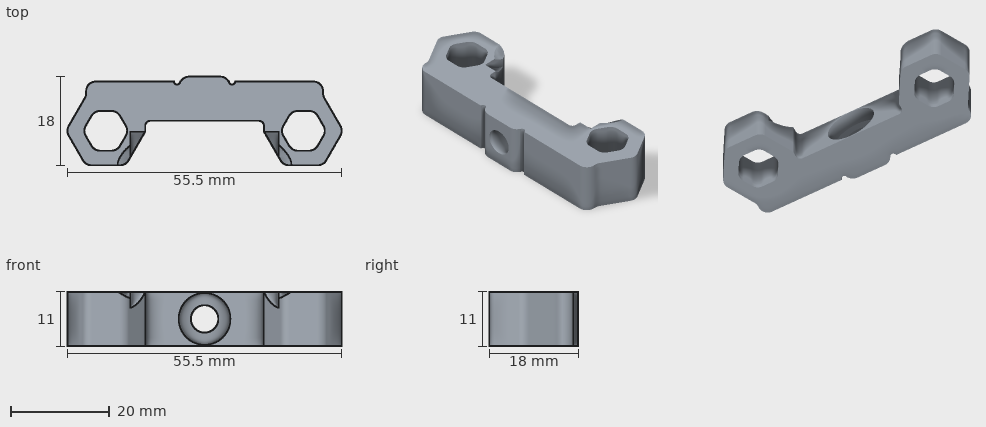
import cadquery as cq
import math

height = 11.0
top_z = height / 2

hex_spacing = 40
hex_flats = 14.0
hex_flank_angle = math.radians(60)
hex_radius = 2.0
socket_flats = 8.0
socket_radius = 2.0

bridge_half_width = 24.0
bridge_front = 2.0
bridge_back = 10
bridge_radius = 2.0
gap_half_width = 12.0
gap_radius = 1.0

boss_back = 11.0
boss_half_width = 4.3
boss_radius = 2.0
boss_flank_angle = math.radians(60)
groove_radius = 0.6

bolt_diameter = 5.5
counterbore_diameter = 10.5
counterbore_depth = 3.0

clearance_y = -hex_flats / 2
clearance_z = top_z + 5
clearance_radius = 8.45
clearance_half_length = 15
cone_radius = 6.5
cone_angle = math.radians(30)


def hexagon(flats, radius):
    """Vertical hexagonal prism with rounded corners."""
    across_corners = flats / math.sin(hex_flank_angle)
    prism = cq.Workplane("XY").polygon(6, across_corners).extrude(height).edges("|Z").fillet(radius)
    return prism.translate((0, 0, -top_z))


def at_both_ends(solid):
    """Copies of a solid at the two hexagon centres."""
    half = hex_spacing / 2
    return solid.translate((-half, 0, 0)).union(solid.translate((half, 0, 0)))


def shoulder_y():
    """Y position at which a bridge side meets the hexagon flank."""
    corner_to_side = hex_spacing / 2 + hex_flats / 2 / math.sin(hex_flank_angle) - bridge_half_width
    return corner_to_side * math.tan(hex_flank_angle)


def bridge():
    """Bar whose ends follow the flanks of the hexagons, joined at the middle of each flank."""
    flank_offset = hex_flats / 2 * math.sin(hex_flank_angle)
    flank_mid_x = hex_spacing / 2 - flank_offset
    outer_mid_x = hex_spacing / 2 + flank_offset
    flank_mid_y = -hex_flats / 4
    flank_top_y = flank_mid_y + (flank_mid_x - gap_half_width) * math.tan(hex_flank_angle)
    bar = (
        cq.Workplane("XY", origin=(0, 0, -top_z))
        .moveTo(-outer_mid_x, -flank_mid_y)
        .lineTo(-bridge_half_width, shoulder_y())
        .lineTo(-bridge_half_width, bridge_back)
        .lineTo(bridge_half_width, bridge_back)
        .lineTo(bridge_half_width, shoulder_y())
        .lineTo(outer_mid_x, -flank_mid_y)
        .lineTo(flank_mid_x, flank_mid_y)
        .lineTo(gap_half_width, flank_top_y)
        .lineTo(gap_half_width, bridge_front)
        .lineTo(-gap_half_width, bridge_front)
        .lineTo(-gap_half_width, flank_top_y)
        .lineTo(-flank_mid_x, flank_mid_y)
        .close()
        .extrude(height)
    )
    bar = bar.edges("|Z and >Y").fillet(bridge_radius)
    gap_corners = cq.selectors.BoxSelector(
        (-gap_half_width - 0.55, bridge_front - 0.55, -height),
        (gap_half_width + 0.55, bridge_front + 0.55, height),
    )
    return bar.edges(gap_corners).edges("|Z").fillet(gap_radius)


def round_shoulders(body):
    """Round the inside corners where the bridge sides meet the hexagon flanks."""
    for side in (-1, 1):
        x = side * bridge_half_width
        shoulder = cq.selectors.BoxSelector(
            (x - 0.55, shoulder_y() - 0.55, -height), (x + 0.55, shoulder_y() + 0.55, height)
        )
        body = body.edges(shoulder).edges("|Z").fillet(bridge_radius)
    return body


def boss():
    """Trapezoidal boss whose flanks end where they touch the relief grooves."""
    root_y = bridge_back - groove_radius * math.cos(boss_flank_angle)
    spread = (boss_back - root_y) / math.tan(boss_flank_angle)
    root_half_width = boss_half_width + spread
    outline = [
        (-root_half_width, root_y),
        (-boss_half_width, boss_back),
        (boss_half_width, boss_back),
        (root_half_width, root_y),
    ]
    block = cq.Workplane("XY", origin=(0, 0, -top_z)).polyline(outline).close().extrude(height)
    return block.edges("|Z and >Y").fillet(boss_radius)


def relief_grooves():
    """Round grooves centred on the back face of the bridge."""
    flank_foot_x = boss_half_width + (boss_back - bridge_back) / math.tan(boss_flank_angle)
    groove_x = flank_foot_x + groove_radius / math.sin(boss_flank_angle)
    return (
        cq.Workplane("XY", origin=(0, 0, -top_z))
        .pushPoints([(-groove_x, bridge_back), (groove_x, bridge_back)])
        .circle(groove_radius)
        .extrude(height)
    )


def bolt_hole():
    """Through hole, counterbored from the front face of the bridge."""
    hole = cq.Workplane("XZ", origin=(0, boss_back, 0)).circle(bolt_diameter / 2).extrude(boss_back)
    counterbore = (
        cq.Workplane("XZ", origin=(0, bridge_front + counterbore_depth, 0))
        .circle(counterbore_diameter / 2)
        .extrude(bridge_front + counterbore_depth)
    )
    return hole.union(counterbore)


def clearance():
    """Cylinder with a smaller cone on each end."""
    tip_x = clearance_half_length + cone_radius / math.tan(cone_angle)
    profile = [
        (-tip_x, 0),
        (-clearance_half_length, cone_radius),
        (-clearance_half_length, clearance_radius),
        (clearance_half_length, clearance_radius),
        (clearance_half_length, cone_radius),
        (tip_x, 0),
    ]
    turned = cq.Workplane("XY").polyline(profile).close().revolve(360, (0, 0, 0), (1, 0, 0))
    return turned.translate((0, clearance_y, clearance_z))


body = bridge().union(at_both_ends(hexagon(hex_flats, hex_radius)))
body = round_shoulders(body)
body = body.cut(relief_grooves()).union(boss())
body = body.cut(at_both_ends(hexagon(socket_flats, socket_radius)))
result = body.cut(bolt_hole()).cut(clearance())